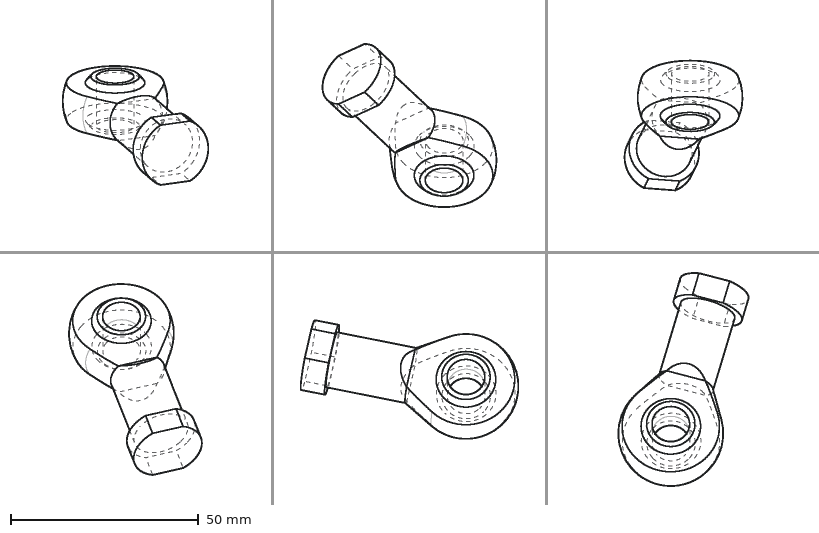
import math

import cadquery as cq

overall_length = 57.0

eye_radius = 14.0
eye_thickness = 10.5
neck_angle = math.radians(30)

ball_height = 14.0
ball_face_diameter = 12.9
bore_diameter = 10.0

shank_radius = 7.5
bevel_length = 2.65
collar_diameter = 19.0
collar_length = 6.5
collar_across_flats = 17.0

end_x = overall_length - eye_radius
collar_x = end_x - collar_length
eye_half = eye_thickness / 2
tangent_x = eye_radius * math.sin(neck_angle)
tangent_radius = eye_radius * math.cos(neck_angle)
neck_x = tangent_x + (tangent_radius - shank_radius) / math.tan(neck_angle)
ball_radius = math.hypot(ball_face_diameter / 2, ball_height / 2)


def make_body():
    """Sphere, tangent cone and shank, revolved about the X axis."""
    arc_middle = eye_radius * math.sqrt(0.5)
    profile = (
        cq.Workplane("XY")
        .moveTo(-eye_radius, 0)
        .threePointArc((-arc_middle, arc_middle), (tangent_x, tangent_radius))
        .lineTo(neck_x, shank_radius)
        .lineTo(collar_x, shank_radius)
        .lineTo(collar_x, 0)
        .close()
    )
    return profile.revolve(360, (0, 0, 0), (1, 0, 0))


def make_flattening_envelope():
    """Side outline that flattens the eye and bevels the start of the shank."""
    slope = (shank_radius - eye_half) / bevel_length
    clear_height = 2 * shank_radius
    clear_x = neck_x + (clear_height - eye_half) / slope
    upper_half = (
        cq.Workplane("XZ")
        .moveTo(-eye_radius, 0)
        .lineTo(-eye_radius, eye_half)
        .lineTo(neck_x, eye_half)
        .lineTo(clear_x, clear_height)
        .lineTo(end_x, clear_height)
        .lineTo(end_x, 0)
        .close()
        .extrude(eye_radius, both=True)
    )
    return upper_half.union(upper_half.mirror("XY"))


def make_collar():
    """Round collar with two wrench flats facing +Z and -Z."""
    disc = cq.Workplane("YZ", origin=(collar_x, 0, 0)).circle(collar_diameter / 2).extrude(collar_length)
    flats = cq.Workplane("XY").box(2 * end_x, collar_diameter, collar_across_flats)
    return disc.intersect(flats)


def make_ball():
    """Ball with flat faces, standing proud of both eye faces."""
    slab = cq.Workplane("XY").box(2 * ball_radius, 2 * ball_radius, ball_height)
    return cq.Workplane("XY").sphere(ball_radius).intersect(slab)


def make_bore():
    """Hole through the ball along Z."""
    return cq.Workplane("XY").circle(bore_diameter / 2).extrude(ball_height, both=True)


body = make_body().intersect(make_flattening_envelope())
result = body.union(make_collar()).union(make_ball()).cut(make_bore())